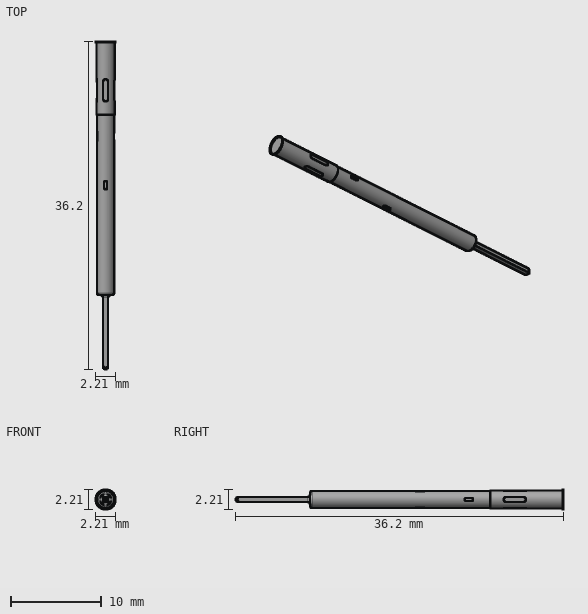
import cadquery as cq

length = 36.2

flange_radius = 1.105
flange_thickness = 0.1
sleeve_radius = 1.0
sleeve_end = 8.1
sleeve_chamfer = 0.055

barrel_radius = 0.96
barrel_end = 28.0
barrel_edge_radius = 0.25

plunger_width = 0.58
neck_radius = 0.3
neck_disc_radius = 0.6
tip_flat_radius = 0.07
tip_corner_radius = plunger_width / 2**0.5
tip_length = tip_corner_radius - tip_flat_radius

sleeve_slot_start = 4.15
sleeve_slot_length = 2.45
sleeve_slot_width = 0.55
sleeve_slot_floor = 0.96
barrel_slot_length = 0.95
barrel_slot_width = 0.33
barrel_slot_floor = 0.9
side_barrel_slot_start = 10.0
vertical_barrel_slot_start = 15.4

vertical_turns = (0, 180)
side_turns = (90, 270)


def make_barrel():
    """Flange, sleeve and barrel turned as one piece about the Y axis."""
    outline = (
        cq.Workplane("XY")
        .lineTo(flange_radius, 0)
        .lineTo(flange_radius, -flange_thickness)
        .lineTo(sleeve_radius, -flange_thickness)
        .lineTo(sleeve_radius, -(sleeve_end - sleeve_chamfer))
        .lineTo(barrel_radius, -sleeve_end)
        .lineTo(barrel_radius, -(barrel_end - barrel_edge_radius))
        .radiusArc((barrel_radius - barrel_edge_radius, -barrel_end), barrel_edge_radius)
        .lineTo(0, -barrel_end)
        .close()
    )
    return outline.revolve(360, (0, 0, 0), (0, 1, 0))


def make_neck():
    """Square foot flaring from the plunger to the barrel in concave arcs, trimmed to a disc."""
    half_width = plunger_width / 2
    flare = (
        cq.Workplane("XY")
        .moveTo(-half_width - neck_radius, -barrel_end)
        .lineTo(half_width + neck_radius, -barrel_end)
        .radiusArc((half_width, -barrel_end - neck_radius), -neck_radius)
        .lineTo(-half_width, -barrel_end - neck_radius)
        .radiusArc((-half_width - neck_radius, -barrel_end), -neck_radius)
        .close()
        .extrude(neck_disc_radius, both=True)
    )
    disc = (
        cq.Workplane("XZ", origin=(0, -barrel_end, 0))
        .circle(neck_disc_radius)
        .extrude(neck_radius)
    )
    side_flare = flare.rotate((0, 0, 0), (0, 1, 0), 90)
    return flare.intersect(side_flare).intersect(disc)


def make_plunger():
    """Square bar whose front end is turned to a cone."""
    bar = (
        cq.Workplane("XZ", origin=(0, -barrel_end, 0))
        .rect(plunger_width, plunger_width)
        .extrude(length - barrel_end)
    )
    turned = (
        cq.Workplane("XY")
        .moveTo(0, -barrel_end)
        .lineTo(tip_corner_radius, -barrel_end)
        .lineTo(tip_corner_radius, -(length - tip_length))
        .lineTo(tip_flat_radius, -length)
        .lineTo(0, -length)
        .close()
        .revolve(360, (0, 0, 0), (0, 1, 0))
    )
    return bar.intersect(turned)


def cut_slots(body, turns, start, slot_length, width, floor):
    """Cut a flat-bottomed round-ended slot along Y at each turn about the axis."""
    slot = (
        cq.Workplane("XY", origin=(0, -(start + slot_length / 2), floor))
        .slot2D(slot_length, width, 90)
        .extrude(flange_radius - floor)
    )
    for turn in turns:
        body = body.cut(slot.rotate((0, 0, 0), (0, 1, 0), turn))
    return body


def cut_sleeve_slots(body):
    """Four slots through the sleeve's skin, level with each other."""
    turns = vertical_turns + side_turns
    return cut_slots(body, turns, sleeve_slot_start, sleeve_slot_length, sleeve_slot_width, sleeve_slot_floor)


def cut_barrel_slots(body):
    """Two opposed pairs of small slots, staggered along the barrel."""
    for turns, start in (
        (side_turns, side_barrel_slot_start),
        (vertical_turns, vertical_barrel_slot_start),
    ):
        body = cut_slots(body, turns, start, barrel_slot_length, barrel_slot_width, barrel_slot_floor)
    return body


probe = cut_barrel_slots(cut_sleeve_slots(make_barrel()))
result = probe.union(make_neck()).union(make_plunger())